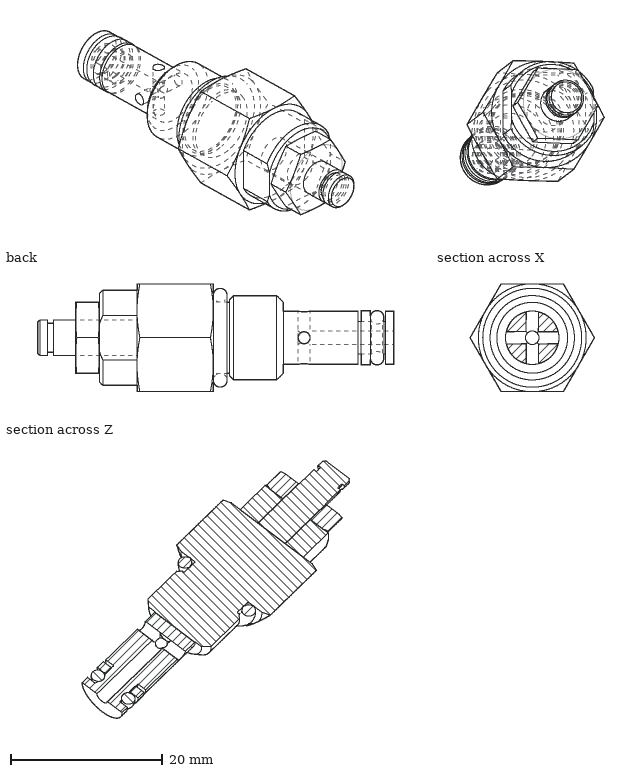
import cadquery as cq
import math


SEAL_GROOVE_START = 1.15
SEAL_GROOVE_END = 4.7
NOSE_END = 14.6
UNDERCUT_START = 21.8
HEX_START = 23.9
HEX_END = 34.0
LOCKNUT_END = 39.0
JAM_NUT_END = 42.1
SCREW_END = 47.15

NOSE_DIA = 7.05
SEAL_GROOVE_DIA = 4.35
CENTRE_BORE_DIA = 1.8
CROSS_HOLE_DIA = 1.55
CROSS_HOLE_X = 11.9

NOSE_RING_OUTER_DIA = 7.2
NOSE_RING_SECTION = 1.8
NOSE_RING_X = 2.2
BACKUP_RING_WIDTH = 1.23
BODY_RING_SECTION = 1.85

SHOULDER_DIA = 11.17
SHOULDER_FRONT_CHAMFER = 0.9
SHOULDER_REAR_CHAMFER = 0.55
UNDERCUT_DIA = 9.45
HEX_ACROSS_FLATS = 14.3
HEX_CHAMFER_DEPTH = 0.4

LOCKNUT_DIA = 12.65
LOCKNUT_ACROSS_FLATS = SHOULDER_DIA
LOCKNUT_CHAMFER = 0.45
JAM_NUT_ACROSS_FLATS = 9.45
JAM_NUT_CHAMFER_DEPTH = 0.15
SCREW_DIA = 4.7
SCREW_GROOVE_DIA = 3.85
SCREW_GROOVE_START = 45.08
SCREW_GROOVE_END = 45.85
SCREW_CHAMFER = 0.3


def cylinder(diameter, start, end):
    """Solid cylinder on the X axis between two stations."""
    return cq.Workplane("YZ", origin=(start, 0, 0)).circle(diameter / 2).extrude(end - start)


def tube(outer_dia, inner_dia, start, end):
    """Hollow cylinder on the X axis between two stations."""
    return cylinder(outer_dia, start, end).cut(cylinder(inner_dia, start, end))


def o_ring(outer_dia, section_dia, centre_x):
    """Round-section ring around the X axis."""
    centre_radius = (outer_dia - section_dia) / 2
    section = cq.Workplane("XY").center(centre_x, centre_radius).circle(section_dia / 2)
    return section.revolve(360, (-centre_x, -centre_radius, 0), (0.45 - centre_x, -centre_radius, 0))


def chamfered_hex(across_flats, start, end, chamfer_depth):
    """Hexagonal prism with corners on +Y and -Y, both ends turned to a cone."""
    across_corners = across_flats / math.cos(math.radians(30))
    flat_radius = across_flats / 2
    corner_radius = across_corners / 2
    prism = cq.Workplane("YZ", origin=(start, 0, 0)).polygon(6, across_corners).extrude(end - start)
    envelope_profile = [
        (start, 0),
        (start, flat_radius),
        (start + chamfer_depth, corner_radius),
        (end - chamfer_depth, corner_radius),
        (end, flat_radius),
        (end, 0),
    ]
    envelope = cq.Workplane("XY").polyline(envelope_profile).close().revolve(360, (0, 0, 0), (1, 0, 0))
    return prism.intersect(envelope)


def make_nose_ring():
    return o_ring(NOSE_RING_OUTER_DIA, NOSE_RING_SECTION, NOSE_RING_X)


def make_backup_ring():
    """Flat ring standing against the nose O-ring in the same groove."""
    start = NOSE_RING_X + NOSE_RING_SECTION / 2
    return tube(NOSE_RING_OUTER_DIA, SEAL_GROOVE_DIA, start, start + BACKUP_RING_WIDTH)


def make_nose():
    nose = cylinder(NOSE_DIA, 0, NOSE_END)
    nose = nose.cut(tube(NOSE_DIA, SEAL_GROOVE_DIA, SEAL_GROOVE_START, SEAL_GROOVE_END))
    nose = nose.cut(make_nose_ring())
    nose = nose.cut(cylinder(CENTRE_BORE_DIA, 0, CROSS_HOLE_X + CROSS_HOLE_DIA / 2))
    for plane in ("XZ", "XY"):
        hole = cq.Workplane(plane).center(CROSS_HOLE_X, 0).circle(CROSS_HOLE_DIA / 2)
        nose = nose.cut(hole.extrude(NOSE_DIA, both=True))
    return nose


def make_body():
    """Chamfered shoulder, undercut for the O-ring and wrench hexagon."""
    shoulder = cylinder(SHOULDER_DIA, NOSE_END, UNDERCUT_START)
    shoulder = shoulder.faces("<X").chamfer(SHOULDER_FRONT_CHAMFER)
    shoulder = shoulder.faces(">X").chamfer(SHOULDER_REAR_CHAMFER)
    undercut = cylinder(UNDERCUT_DIA, UNDERCUT_START, HEX_START)
    hexagon = chamfered_hex(HEX_ACROSS_FLATS, HEX_START, HEX_END, HEX_CHAMFER_DEPTH)
    return shoulder.union(undercut).union(hexagon)


def make_body_ring():
    """O-ring seated on the undercut, against the hexagon."""
    outer_dia = UNDERCUT_DIA + 2 * BODY_RING_SECTION
    return o_ring(outer_dia, BODY_RING_SECTION, HEX_START - BODY_RING_SECTION / 2)


def make_locknut():
    """Round nut with two wrench flats, on +Y and -Y."""
    length = LOCKNUT_END - HEX_END
    nut = cylinder(LOCKNUT_DIA, HEX_END, LOCKNUT_END).faces(">X").chamfer(LOCKNUT_CHAMFER)
    flats = cq.Workplane("YZ", origin=(HEX_END, 0, 0)).rect(LOCKNUT_ACROSS_FLATS, LOCKNUT_DIA).extrude(length)
    return nut.intersect(flats).cut(cylinder(SCREW_DIA, HEX_END, LOCKNUT_END))


def make_jam_nut():
    nut = chamfered_hex(JAM_NUT_ACROSS_FLATS, LOCKNUT_END, JAM_NUT_END, JAM_NUT_CHAMFER_DEPTH)
    return nut.cut(cylinder(SCREW_DIA, LOCKNUT_END, JAM_NUT_END))


def make_screw():
    """Adjusting screw through both nuts, with a ring groove near its free end."""
    screw = cylinder(SCREW_DIA, HEX_END, SCREW_END).faces(">X").chamfer(SCREW_CHAMFER)
    return screw.cut(tube(SCREW_DIA, SCREW_GROOVE_DIA, SCREW_GROOVE_START, SCREW_GROOVE_END))


nose = make_nose()
nose_ring = make_nose_ring()
backup_ring = make_backup_ring()
body = make_body()
body_ring = make_body_ring()
locknut = make_locknut()
jam_nut = make_jam_nut()
screw = make_screw()

result = cq.Compound.makeCompound([
    nose.val(),
    nose_ring.val(),
    backup_ring.val(),
    body.val(),
    body_ring.val(),
    locknut.val(),
    jam_nut.val(),
    screw.val(),
])